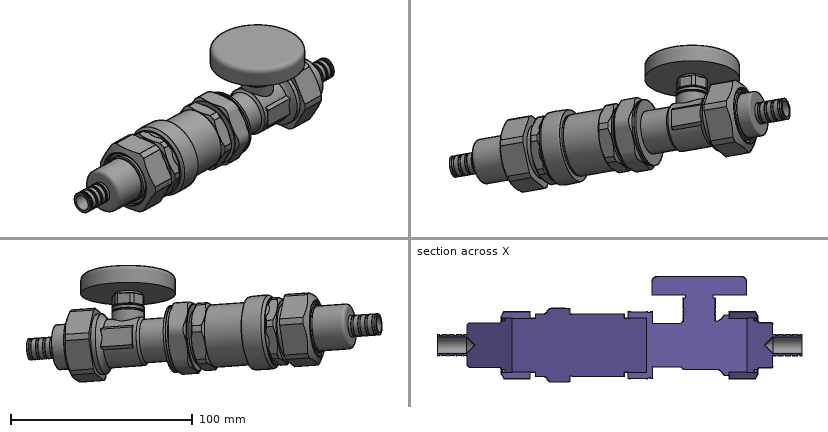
import cadquery as cq
import math


TOTAL_LENGTH = 201.5
TOTAL_HEIGHT = 58.6
LINE_END = TOTAL_LENGTH / 2

NUT_FLATS = 37.0
NUT_CORNER_DIA = 40.9
NUT_LENGTH = 16.0
NUT_CHAMFER_LENGTH = 2.5
NUT_FACE_DIA = 31.8
NUT_BORE_DIA = 30.0
NUT_MOUTH_CHAMFER = 0.6
NECK_LENGTH = 10
BACK_NUT_Y = 60.5
FRONT_NUT_Y = -49.5

SLEEVE_DIA = 25.0
COLLAR_END_GAP = 2
SHOULDER_DIA = 27.0
SHOULDER_CHAMFER = 0.6
SHOULDER_PROTRUSION = 0.5
BACK_SLEEVE_ROUND = 0.8
FRONT_SLEEVE_ROUND = 2.2
NOZZLE_LENGTH = 16.1
NOZZLE_DIA = 11.9
NOZZLE_GROOVE_DIA = 11.0
NOZZLE_GROOVE_WIDTH = 1.2
NOZZLE_GROOVE_PITCH = 4
NOZZLE_GROOVE_COUNT = 4
NOZZLE_BORE_DIA = 9.0
DRILL_POINT_ANGLE = 90

FLANGE_DIA = 33.6
FLANGE_RIM_LENGTH = 2.6
FLANGE_CONE_LENGTH = 1.8
FLANGE_CONE_END_DIA = 29.0
FLANGE_BLEND_LENGTH = 1.5
CASTING_DIA = 27.0
CASTING_END_Y = 35.2
CASTING_CHAMFER_LENGTH = 1.5
PIPE_DIA = 24.2
PAD_TOP_X = 13.7
PAD_TOP_HALF_WIDTH = 5.0
PAD_BASE_HALF_WIDTH = 6.5
PAD_BACK_Y = 55.5
PAD_FRONT_Y = 37.5

SWIVEL_FLATS = 37.0
SWIVEL_CORNER_RADIUS = 6.6
SWIVEL_BACK_Y = 18.1
SWIVEL_FRONT_Y = 4.5
SWIVEL_COLLAR_DIA = 37.0
SWIVEL_COLLAR_LENGTH = 1.2
SWIVEL_WAIST_DIA = 36.3
SWIVEL_WAIST_LENGTH = 1.2
SWIVEL_BLANK_DIA = 41.0
SWIVEL_BACK_CHAMFER = 1.2
SWIVEL_FRONT_CHAMFER = 1.2
SWIVEL_RIM_LENGTH = 0.6
SWIVEL_RECESS_DEPTH = 10

GAUGE_Y = 44.0
GAUGE_DIA = 52.4
GAUGE_BOTTOM_Z = 27.5
GAUGE_ROUND = 3.0
STEM_NECK_DIA = 15.3
STEM_HEX_FLATS = 16.5
STEM_HEX_CORNER_DIA = 18.0
STEM_HEX_TOP_Z = 26.2
STEM_HEX_BOTTOM_Z = 20.3
STEM_COLLAR_DIA = 18.0
STEM_COLLAR_TOP_Z = 19.5
STEM_COLLAR_BOTTOM_Z = 17.7
STEM_GROOVE_DIA = 17.0
BOSS_DIA = 18.0
BOSS_TOP_Z = 17.0

CHECK_FLATS = 34.6
CHECK_CORNER_DIA = 38.0
CHECK_NECK_DIA = NUT_BORE_DIA
BACK_HEX_START_Y = 2.6
BACK_HEX_END_Y = -5.2
HEX_CHAMFER_LENGTH = 1.2
BARREL_DIA = 34.6
BARREL_FRONT_Y = -26.4
RELIEF_DIA = 34.2
RING_BACK_Y = -27.4
RING_FRONT_Y = -40.3
RING_END_DIA = 40.0
RING_CREST_DIA = 41.3
RING_EDGE_LENGTH = 1.0
RING_FRONT_EDGE_LENGTH = 1.6
RING_FRONT_DIA = 37.9
FRONT_HEX_END_Y = -46.5
ROOT_CONE_DIA = 36.3
ROOT_CONE_LENGTH = 1.6


def turned(outline):
    """Revolve a closed outline of (radius, y) points about the Y axis."""
    return cq.Workplane("XY").polyline(outline).close().revolve(360, (0, 0), (0, 1))


def rod(diameter, y_low, y_high):
    return cq.Workplane("XZ", origin=(0, y_low, 0)).circle(diameter / 2).extrude(y_low - y_high)


def post(diameter, z_low, z_high):
    return cq.Workplane("XY", origin=(0, GAUGE_Y, z_low)).circle(diameter / 2).extrude(z_high - z_low)


def hex_bar(flats, y_low, y_high):
    """Hexagonal bar along Y with two flats facing +Z and -Z."""
    corner_dia = flats / math.cos(math.pi / 6)
    return cq.Workplane("XZ", origin=(0, y_low, 0)).polygon(6, corner_dia).extrude(y_low - y_high)


def union_nut():
    """Nut from its inner face at y = 0 to its chamfered outer face."""
    corner_r = NUT_CORNER_DIA / 2
    blank = turned([
        (0, 0),
        (corner_r, 0),
        (corner_r, NUT_LENGTH - NUT_CHAMFER_LENGTH),
        (NUT_FACE_DIA / 2, NUT_LENGTH),
        (0, NUT_LENGTH),
    ])
    bore_r = NUT_BORE_DIA / 2
    bore = turned([
        (0, 0),
        (bore_r, 0),
        (bore_r, NUT_LENGTH - NUT_MOUTH_CHAMFER),
        (bore_r + NUT_MOUTH_CHAMFER, NUT_LENGTH),
        (0, NUT_LENGTH),
    ])
    return hex_bar(NUT_FLATS, 0, NUT_LENGTH).intersect(blank).cut(bore)


def tailpiece(length, sleeve_round):
    """Tailpiece whose nozzle tip is `length` beyond the inner face of its nut."""
    sleeve_end = length - NOZZLE_LENGTH
    collar_end = NUT_LENGTH - COLLAR_END_GAP
    shoulder_end = NUT_LENGTH + SHOULDER_PROTRUSION
    shoulder_r = SHOULDER_DIA / 2

    collar = turned([
        (0, NECK_LENGTH),
        (NUT_BORE_DIA / 2, NECK_LENGTH),
        (NUT_BORE_DIA / 2, collar_end),
        (shoulder_r, collar_end),
        (shoulder_r, shoulder_end - SHOULDER_CHAMFER),
        (shoulder_r - SHOULDER_CHAMFER, shoulder_end),
        (0, shoulder_end),
    ])
    sleeve = rod(SLEEVE_DIA, NECK_LENGTH, sleeve_end).faces(">Y").edges().fillet(sleeve_round)
    body = collar.union(sleeve).union(rod(NOZZLE_DIA, NECK_LENGTH, length))

    for index in range(NOZZLE_GROOVE_COUNT):
        groove_end = length - NOZZLE_GROOVE_WIDTH - index * NOZZLE_GROOVE_PITCH
        groove_start = groove_end - NOZZLE_GROOVE_WIDTH
        groove = rod(NOZZLE_DIA, groove_start, groove_end).cut(
            rod(NOZZLE_GROOVE_DIA, groove_start, groove_end)
        )
        body = body.cut(groove)

    bore_r = NOZZLE_BORE_DIA / 2
    point_depth = bore_r / math.tan(math.radians(DRILL_POINT_ANGLE / 2))
    bore = turned([(0, length), (bore_r, length), (bore_r, sleeve_end), (0, sleeve_end - point_depth)])
    return body.cut(bore)


def face_forward(body):
    """Turn a body built toward +Y so that it points toward -Y."""
    return body.rotate((0, 0, 0), (0, 0, 1), 180)


def valve_casting():
    rim_end = BACK_NUT_Y - FLANGE_RIM_LENGTH
    cone_end = rim_end - FLANGE_CONE_LENGTH
    return turned([
        (0, BACK_NUT_Y + NECK_LENGTH),
        (NUT_BORE_DIA / 2, BACK_NUT_Y + NECK_LENGTH),
        (NUT_BORE_DIA / 2, BACK_NUT_Y),
        (FLANGE_DIA / 2, BACK_NUT_Y),
        (FLANGE_DIA / 2, rim_end),
        (FLANGE_CONE_END_DIA / 2, cone_end),
        (CASTING_DIA / 2, cone_end - FLANGE_BLEND_LENGTH),
        (CASTING_DIA / 2, CASTING_END_Y),
        (PIPE_DIA / 2, CASTING_END_Y - CASTING_CHAMFER_LENGTH),
        (PIPE_DIA / 2, SWIVEL_BACK_Y),
        (0, SWIVEL_BACK_Y),
    ])


def side_pads():
    """Raised flat pads with sloping edges on the +X and -X sides of the casting."""
    base_x = math.sqrt((CASTING_DIA / 2) ** 2 - PAD_BASE_HALF_WIDTH ** 2)
    outline = [
        (-base_x, -PAD_BASE_HALF_WIDTH),
        (-PAD_TOP_X, -PAD_TOP_HALF_WIDTH),
        (-PAD_TOP_X, PAD_TOP_HALF_WIDTH),
        (-base_x, PAD_BASE_HALF_WIDTH),
        (base_x, PAD_BASE_HALF_WIDTH),
        (PAD_TOP_X, PAD_TOP_HALF_WIDTH),
        (PAD_TOP_X, -PAD_TOP_HALF_WIDTH),
        (base_x, -PAD_BASE_HALF_WIDTH),
    ]
    start = cq.Workplane("XZ", origin=(0, PAD_FRONT_Y, 0))
    return start.polyline(outline).close().extrude(PAD_FRONT_Y - PAD_BACK_Y)


def swivel_nut():
    blank_r = SWIVEL_BLANK_DIA / 2
    collar_r = SWIVEL_COLLAR_DIA / 2
    waist_r = SWIVEL_WAIST_DIA / 2
    collar_front = SWIVEL_BACK_Y - SWIVEL_COLLAR_LENGTH
    hex_back = collar_front - SWIVEL_WAIST_LENGTH
    hex_front = SWIVEL_FRONT_Y + SWIVEL_RIM_LENGTH
    blank = turned([
        (0, SWIVEL_BACK_Y),
        (collar_r, SWIVEL_BACK_Y),
        (collar_r, collar_front),
        (waist_r, collar_front),
        (waist_r, hex_back),
        (blank_r, hex_back - SWIVEL_BACK_CHAMFER),
        (blank_r, hex_front + SWIVEL_FRONT_CHAMFER),
        (collar_r, hex_front),
        (collar_r, SWIVEL_FRONT_Y),
        (0, SWIVEL_FRONT_Y),
    ])
    bar = hex_bar(SWIVEL_FLATS, SWIVEL_FRONT_Y, SWIVEL_BACK_Y).edges("|Y").fillet(SWIVEL_CORNER_RADIUS)
    recess = rod(CHECK_NECK_DIA, SWIVEL_FRONT_Y, SWIVEL_FRONT_Y + SWIVEL_RECESS_DEPTH)
    return bar.intersect(blank).cut(recess)


def gauge_and_stem():
    gauge_top = TOTAL_HEIGHT - RING_CREST_DIA / 2
    dial = post(GAUGE_DIA, GAUGE_BOTTOM_Z, gauge_top).faces(">Z").edges().fillet(GAUGE_ROUND)
    neck = post(STEM_NECK_DIA, STEM_HEX_TOP_Z, GAUGE_BOTTOM_Z)
    hexagon = (
        cq.Workplane("XY", origin=(0, GAUGE_Y, STEM_HEX_BOTTOM_Z))
        .transformed(rotate=(0, 0, 90))
        .polygon(6, STEM_HEX_FLATS / math.cos(math.pi / 6))
        .extrude(STEM_HEX_TOP_Z - STEM_HEX_BOTTOM_Z)
        .intersect(post(STEM_HEX_CORNER_DIA, STEM_HEX_BOTTOM_Z, STEM_HEX_TOP_Z))
    )
    collar = post(STEM_COLLAR_DIA, STEM_COLLAR_BOTTOM_Z, STEM_COLLAR_TOP_Z)
    core = post(STEM_GROOVE_DIA, BOSS_TOP_Z, STEM_HEX_BOTTOM_Z)
    boss = post(BOSS_DIA, 0, BOSS_TOP_Z)
    return boss.union(core).union(collar).union(hexagon).union(neck).union(dial)


def valve_body():
    return valve_casting().union(side_pads()).union(swivel_nut()).union(gauge_and_stem())


def check_hex(y_low, y_high):
    """Hexagonal band with its corners turned down and chamfered at both ends."""
    corner_r = CHECK_CORNER_DIA / 2
    end_r = RELIEF_DIA / 2
    blank = turned([
        (0, y_low),
        (end_r, y_low),
        (corner_r, y_low + HEX_CHAMFER_LENGTH),
        (corner_r, y_high - HEX_CHAMFER_LENGTH),
        (end_r, y_high),
        (0, y_high),
    ])
    return hex_bar(CHECK_FLATS, y_low, y_high).intersect(blank)


def check_ring():
    """Ring with a slightly bulged rim and chamfered edges."""
    rim_back = RING_BACK_Y - RING_EDGE_LENGTH
    rim_front = RING_FRONT_Y + RING_FRONT_EDGE_LENGTH
    rim_r = (RING_END_DIA + RING_CREST_DIA) / 4
    return (
        cq.Workplane("XY")
        .moveTo(0, RING_BACK_Y)
        .lineTo(RING_END_DIA / 2, RING_BACK_Y)
        .lineTo(rim_r, rim_back)
        .threePointArc((RING_CREST_DIA / 2, (rim_back + rim_front) / 2), (rim_r, rim_front))
        .lineTo(RING_FRONT_DIA / 2, RING_FRONT_Y)
        .lineTo(0, RING_FRONT_Y)
        .close()
        .revolve(360, (0, 0), (0, 1))
    )


def ring_root():
    """Cone that blends the front face of the ring into the front hexagon."""
    root_end = RING_FRONT_Y - ROOT_CONE_LENGTH
    return turned([
        (0, RING_FRONT_Y),
        (ROOT_CONE_DIA / 2, RING_FRONT_Y),
        (CHECK_FLATS / 2, root_end),
        (0, root_end),
    ])


def check_unit():
    core = rod(CHECK_NECK_DIA, FRONT_NUT_Y - NECK_LENGTH, SWIVEL_FRONT_Y + SWIVEL_RECESS_DEPTH)
    barrel = rod(BARREL_DIA, BARREL_FRONT_Y, BACK_HEX_END_Y)
    relief = rod(RELIEF_DIA, RING_BACK_Y, BARREL_FRONT_Y)
    back_hex = check_hex(BACK_HEX_END_Y, BACK_HEX_START_Y)
    front_hex = check_hex(FRONT_HEX_END_Y, RING_FRONT_Y)
    back_half = core.union(barrel).union(relief).union(back_hex)
    return back_half.union(check_ring()).union(ring_root()).union(front_hex)


valve = valve_body()
check = check_unit()

union_nuts = [
    union_nut().translate((0, BACK_NUT_Y, 0)),
    face_forward(union_nut()).translate((0, FRONT_NUT_Y, 0)),
]

back_tailpiece = tailpiece(LINE_END - BACK_NUT_Y, BACK_SLEEVE_ROUND)
front_tailpiece = tailpiece(LINE_END + FRONT_NUT_Y, FRONT_SLEEVE_ROUND)
tailpieces = [
    back_tailpiece.translate((0, BACK_NUT_Y, 0)),
    face_forward(front_tailpiece).translate((0, FRONT_NUT_Y, 0)),
]

result = cq.Compound.makeCompound([
    valve.solids().val(),
    check.solids().val(),
    *[nut.solids().val() for nut in union_nuts],
    *[piece.solids().val() for piece in tailpieces],
])